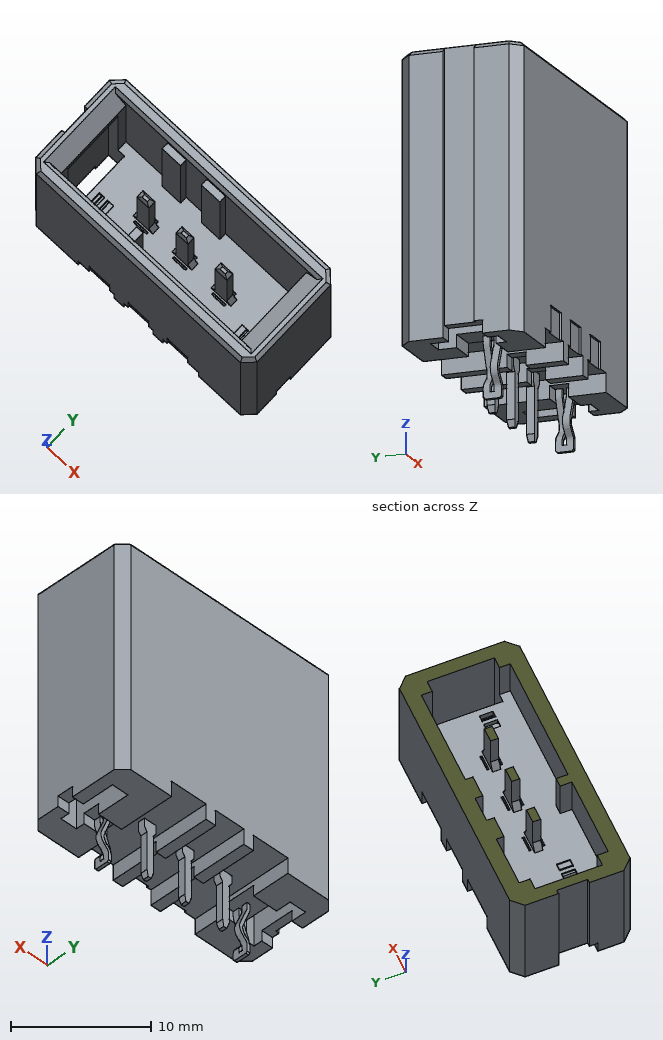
import cadquery as cq


length = 21.62
width = 9.35
height = 21.65
overall_height = 25.4
corner_chamfer = 0.85
rim_chamfer = 0.33

floor_z = 5.6
cavity_length = 17.63
cavity_width = 6.85
lead_in_side = 0.3
lead_in_end = 1.32

window_width = 5.18
window_floor_reach = 0.64
window_wall_depth = 0.91
window_lintel = 1.02
window_top_z = height - lead_in_end - window_lintel

rib_drop = 0.75
rib_top_z = height - rib_drop
rib_overlap = 0.05
back_rib_width = 1.8
back_rib_depth = 0.58
back_rib_centers = (-3.84, 0.0)
front_rib_center = -1.95
front_rib_width = 0.8
front_rib_depth = 0.91
front_rib_draft = 0.15

groove_depth = 0.3
groove_y_min = -1.15
groove_y_max = 1.22

pin_pitch = 3.8
notch_height = 1.45
notch_outer_x = 5.87
foot_inner_x = 1.42
foot_outer_x = 2.4
channel_height = 1.0
channel_y_min = -1.8
channel_y_max = -0.35
label_width = 2.0
label_height = 2.0
label_depth = 0.15

pin_y = 0.18
pin_half_thickness = 0.318
pin_tail_half_width = 0.33
pin_blade_half_width = 0.58
pin_bottom_z = height - overall_height
pin_tail_tip_height = 0.53
pin_tail_tip_width = 0.3
pin_tail_tip_thickness = 0.48
pin_neck_bottom_z = 0.3
pin_neck_arc_end = (0.5, 0.55)
pin_neck_top_z = 0.74
pin_top_z = 15.25
pin_top_tip_height = 0.5
pin_top_tip_width = 0.5
pin_top_tip_thickness = 0.25
shoulder_half_width = 0.97
shoulder_height = 0.75
slit_length = 1.25
slit_width = 0.15
slit_offset = 0.53
slit_depth = 0.38

tab_x = 6.98
tab_y_min = channel_y_min
tab_y_max = -0.4
tab_bottom_z = -3.73
tab_corner = 0.13
stem_half = 0.14
stem_top_z = -2.97
arm_bend_z = 0.53
split_y_min = -1.25
split_y_max = -0.91
split_bottom_z = -3.23

inner_pocket = (6.27, 6.88)
outer_pocket = (7.16, 7.67)
prong_inner_end = 6.7
barb_crest = 7.35
barb_foot = 7.47
prong_drop = 0.13
pocket_y_min = -1.6
pocket_y_max = -0.55
pocket_depth = 0.5

pin_centers = (-pin_pitch, 0.0, pin_pitch)


def block(x_min, x_max, y_min, y_max, z_min, z_max):
    size = (x_max - x_min, y_max - y_min, z_max - z_min)
    return cq.Workplane("XY").box(*size, centered=False).translate((x_min, y_min, z_min))


def frustum(center_x, center_y, z_start, start_size, z_end, end_size):
    """Rectangular block tapering between two sizes, each given as (X, Y)."""
    return (
        cq.Workplane("XY", origin=(center_x, center_y, z_start))
        .rect(*start_size)
        .workplane(offset=z_end - z_start)
        .rect(*end_size)
        .loft(combine=True)
    )


def housing_shell():
    shell = cq.Workplane("XY").box(length, width, height, centered=(True, True, False))
    shell = shell.edges("|Z").chamfer(corner_chamfer)
    shell = shell.faces(">Z").edges().chamfer(rim_chamfer)

    half_x = cavity_length / 2
    half_y = cavity_width / 2
    shell = shell.cut(block(-half_x, half_x, -half_y, half_y, floor_z, height))
    end_slopes = (
        cq.Workplane("XZ")
        .polyline([
            (-half_x, height - lead_in_end),
            (half_x, height - lead_in_end),
            (half_x + lead_in_end, height),
            (-half_x - lead_in_end, height),
        ])
        .close()
        .extrude(half_y + lead_in_side, both=True)
    )
    side_slopes = (
        cq.Workplane("YZ")
        .polyline([
            (-half_y, 0),
            (half_y, 0),
            (half_y, height - lead_in_side),
            (half_y + lead_in_side, height),
            (-half_y - lead_in_side, height),
            (-half_y, height - lead_in_side),
        ])
        .close()
        .extrude(length / 2, both=True)
    )
    return shell.cut(end_slopes.intersect(side_slopes))


def ribs():
    wall_y = cavity_width / 2
    half = back_rib_width / 2
    root_y = wall_y + rib_overlap
    shape = cq.Workplane("XY")
    for x in back_rib_centers:
        shape = shape.add(
            block(x - half, x + half, wall_y - back_rib_depth, root_y, floor_z, rib_top_z)
        )
    left = front_rib_center - front_rib_width / 2
    right = front_rib_center + front_rib_width / 2
    front_rib = (
        cq.Workplane("XZ", origin=(0, -wall_y + front_rib_depth, 0))
        .polyline([
            (left, floor_z),
            (right, floor_z),
            (right, rib_top_z),
            (left + front_rib_draft, rib_top_z),
        ])
        .close()
        .extrude(front_rib_depth + rib_overlap)
    )
    return shape.add(front_rib).combine()


def end_windows():
    inner = cavity_length / 2 - window_floor_reach
    outer = cavity_length / 2 + window_wall_depth
    half = window_width / 2
    window = block(inner, outer, -half, half, 0, window_top_z)
    return window.union(window.mirror("YZ"))


def wall_groove():
    return block(-length / 2, -length / 2 + groove_depth, groove_y_min, groove_y_max, 0, height)


def underside_cuts():
    half_y = width / 2
    cuts = block(-foot_inner_x, foot_inner_x, -half_y, half_y, 0, notch_height)
    for x_min, x_max in ((-notch_outer_x, -foot_outer_x), (foot_outer_x, notch_outer_x)):
        cuts = cuts.union(block(x_min, x_max, -half_y, half_y, 0, notch_height))
    half_x = length / 2
    cuts = cuts.union(block(-half_x, half_x, channel_y_min, channel_y_max, 0, channel_height))
    cuts = cuts.union(
        block(-half_x, -notch_outer_x, channel_y_max, groove_y_max, 0, channel_height)
    )
    return cuts


def label_recesses():
    half = label_width / 2
    top_z = notch_height + label_height
    front_y = -width / 2
    recesses = cq.Workplane("XY")
    for x in pin_centers:
        recesses = recesses.add(
            block(x - half, x + half, front_y, front_y + label_depth, notch_height, top_z)
        )
    return recesses.combine()


def tab_pockets():
    """Floor pockets at the +X end, each partly filled by a prong of the tab below."""
    z_min = floor_z - pocket_depth
    prong_top_z = floor_z - prong_drop
    inner = block(*inner_pocket, pocket_y_min, pocket_y_max, z_min, floor_z)
    outer = block(*outer_pocket, pocket_y_min, pocket_y_max, z_min, floor_z)
    prong = block(inner_pocket[0], prong_inner_end, pocket_y_min, pocket_y_max, z_min, prong_top_z)
    barb = (
        cq.Workplane("XZ", origin=(0, pocket_y_max, 0))
        .polyline([(outer_pocket[0], z_min), (barb_foot, z_min), (barb_crest, prong_top_z),
                   (outer_pocket[0], prong_top_z)])
        .close()
        .extrude(pocket_y_max - pocket_y_min)
    )
    return inner.cut(prong).union(outer.cut(barb))


def floor_pockets():
    pockets = tab_pockets()
    pockets = pockets.union(pockets.mirror("YZ"))
    half = slit_length / 2
    for x in pin_centers:
        for side in (-1, 1):
            y = pin_y + side * slit_offset
            pockets = pockets.union(
                block(x - half, x + half, y - slit_width / 2, y + slit_width / 2,
                      floor_z - slit_depth, floor_z)
            )
    return pockets


def pin(x):
    tail_tip_z = pin_bottom_z + pin_tail_tip_height
    blade_top_z = pin_top_z - pin_top_tip_height
    body = (
        cq.Workplane("XZ", origin=(x, pin_y, 0))
        .moveTo(0, blade_top_z)
        .lineTo(pin_blade_half_width, blade_top_z)
        .lineTo(pin_blade_half_width, floor_z + shoulder_height)
        .lineTo(shoulder_half_width, floor_z)
        .lineTo(pin_blade_half_width, floor_z)
        .lineTo(pin_blade_half_width, pin_neck_top_z)
        .tangentArcPoint(pin_neck_arc_end, relative=False)
        .lineTo(pin_tail_half_width, pin_neck_bottom_z)
        .lineTo(pin_tail_half_width, tail_tip_z)
        .lineTo(0, tail_tip_z)
        .mirrorY()
        .extrude(pin_half_thickness, both=True)
    )
    thickness = 2 * pin_half_thickness
    tail_tip = frustum(
        x, pin_y,
        tail_tip_z, (2 * pin_tail_half_width, thickness),
        pin_bottom_z, (pin_tail_tip_width, pin_tail_tip_thickness),
    )
    top_tip = frustum(
        x, pin_y,
        blade_top_z, (2 * pin_blade_half_width, thickness),
        pin_top_z, (pin_top_tip_width, pin_top_tip_thickness),
    )
    return body.union(tail_tip).union(top_tip)


def tab_arm(y_min, y_max):
    """One leg of a tab: bows out to +X, then returns to the shared stem.

    The outer side runs down first, then the inner side back up.
    """
    return (
        cq.Workplane("XZ", origin=(0, y_max, 0))
        .moveTo(-stem_half, channel_height)
        .lineTo(stem_half, channel_height)
        .lineTo(stem_half, arm_bend_z)
        .tangentArcPoint((0.2, 0.23), relative=False)
        .lineTo(0.86, -1.37)
        .threePointArc((0.9, -1.75), (0.7, -2.2))
        .lineTo(0.28, -2.67)
        .tangentArcPoint((stem_half, stem_top_z), relative=False)
        .lineTo(stem_half, tab_bottom_z)
        .lineTo(-stem_half, tab_bottom_z)
        .lineTo(-stem_half, stem_top_z)
        .tangentArcPoint((0.08, -2.46), relative=False)
        .lineTo(0.48, -2.03)
        .threePointArc((0.58, -1.75), (0.55, -1.47))
        .lineTo(-0.08, 0.18)
        .tangentArcPoint((-stem_half, arm_bend_z), relative=False)
        .close()
        .extrude(y_max - y_min)
    )


def hold_down_tab(x):
    back_arm = tab_arm(split_y_max, tab_y_max)
    front_arm = tab_arm(tab_y_min, split_y_min).mirror("YZ")
    bridge = block(-stem_half, stem_half, split_y_min, split_y_max, tab_bottom_z, split_bottom_z)
    tab = back_arm.union(front_arm).union(bridge).clean()
    tab = tab.faces("<Z").edges("|X").edges("<Y or >Y").chamfer(tab_corner)
    return tab.translate((x, 0, 0))


result = housing_shell().union(ribs())
for cutter in (end_windows(), wall_groove(), underside_cuts(), label_recesses(), floor_pockets()):
    result = result.cut(cutter)
for center_x in pin_centers:
    result = result.union(pin(center_x))
for center_x in (-tab_x, tab_x):
    result = result.union(hold_down_tab(center_x))